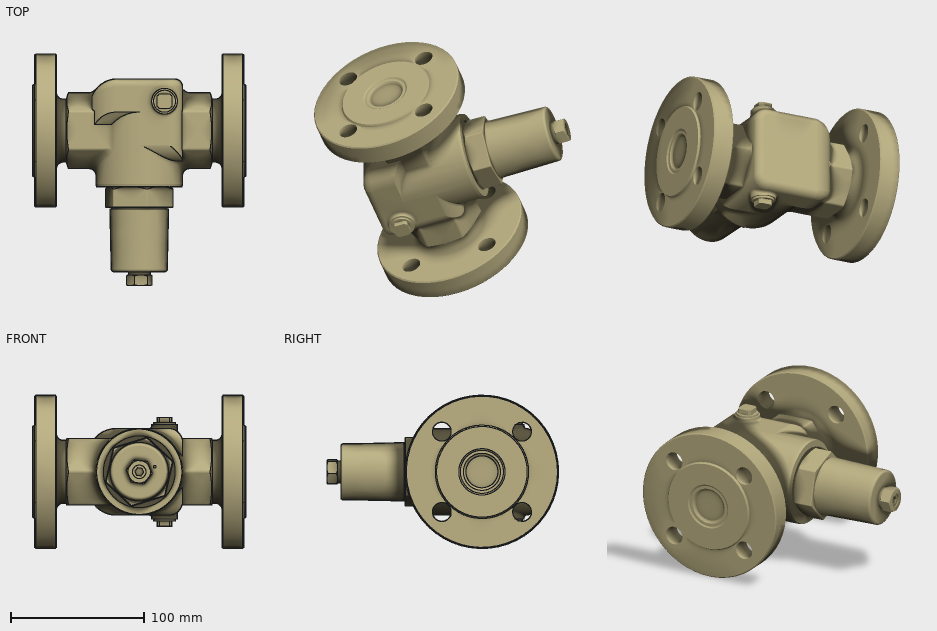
import cadquery as cq
import math


half_length = 80.03
flange_d = 115.0
flange_face_x = 78.4
flange_back_x = 62.0
flange_edge_chamfer = 0.9
raised_face_d = 68.0
raised_face_root_d = 70.0
bolt_hole_d = 14.0
bolt_circle_d = 85.0
bolt_count = 4

countersink_d = 34.8
countersink_floor_d = 32.3
countersink_depth = 0.9
socket_d = 27.8
socket_floor_d = 24.0
socket_depth = 2.6

neck_d = 47.5
neck_fillet = 4.9
pipe_hex_flats = 50.0
pipe_hex_x = 54.7
pipe_hex_chamfer = 1.7
pipe_hex_edge_fillet = 2.3

body_d = 65.0
body_r = body_d / 2
body_front_y = -42.2
body_back_y = 38.8
body_back_fillet = 5.7
body_front_chamfer = 1.9
body_front_step = 0.5
barrel_end_y = 30.4
body_pipe_fillet = 4.9
recess_d = 53.9
recess_depth = 2.0

block_left_width = 38.2
block_left_corner = 20.9
block_right_corner = 10.5
block_left_front_y = 13.9
block_right_front_y = -11.5
block_left_start = (-18.2, body_back_y)
block_left_middle = (-28.7, 34.8)
block_left_end = (-35.5, 25.4)
left_ramp_middle = (7.5, 27.3)
left_ramp_end = (3.5, 24.3)
right_ramp_middle = (-19.1, 27.8)
right_ramp_end = (-22.6, 17.4)

plug_x = 19.0
plug_y = 22.0
boss_d = 19.3
boss_z = 35.5
boss_base_fillet = 1.7
collar_d = 16.5
collar_z = 37.0
head_width = 11.1
head_corner = 1.7
head_z = 40.8

cap_hex_flats = 46.0
cap_hex_start_y = -41.9
cap_hex_end_y = -57.7
cap_hex_angle = 17.0
cap_hex_chamfer = 2.0
cap_hex_end_chamfer = 0.5
cap_hex_edge_fillet = 1.0
cap_neck_d = 41.7
cap_start_y = -58.5
cap_end_y = -105.8
cap_start_d = 44.1
cap_end_d = 42.0
cap_end_fillet = 1.9
vent_hole_d = 2.0
vent_hole_depth = 1.7
vent_hole_x = 11.6
vent_hole_z = 3.8

nut_washer_d = 16.5
nut_start_y = -108.1
nut_end_y = -116.3
nut_flats = 17.0
nut_angle = -8.0
nut_chamfer = 0.9
screw_hole_d = 10.0
screw_hole_depth = 1.0
key_flats = 5.7
key_depth = 3.5


def disc_x(x_start, x_end, diameter):
    """Cylinder on the X axis."""
    return cq.Workplane("YZ", origin=(x_start, 0, 0)).circle(diameter / 2).extrude(x_end - x_start)


def disc_y(y_start, y_end, diameter):
    """Cylinder on the Y axis, running from y_start to y_end in the -Y direction."""
    return cq.Workplane("XZ", origin=(0, y_start, 0)).circle(diameter / 2).extrude(y_start - y_end)


def hexagon_y(y_start, y_end, flats, angle):
    """Hexagonal prism on the Y axis with a corner at the given angle from +X."""
    corners_d = flats / math.cos(math.pi / 6)
    prism = cq.Workplane("XZ", origin=(0, y_start, 0)).polygon(6, corners_d).extrude(y_start - y_end)
    return prism.rotate((0, 0, 0), (0, 1, 0), -angle)


def chamfered_hexagon_y(y_start, y_end, flats, angle, chamfer):
    """Hexagonal prism whose corners are turned down at both ends."""
    corners_d = flats / math.cos(math.pi / 6)
    blank = disc_y(y_start, y_end, corners_d).edges().chamfer(chamfer, (corners_d - flats) / 2)
    return hexagon_y(y_start, y_end, flats, angle).intersect(blank)


def pipe_flange():
    """Right-hand flange with neck, raised face, bolt holes and socket recess."""
    neck_r = neck_d / 2
    flange_r = flange_d / 2
    fillet_middle = neck_fillet * (1 - math.sqrt(0.5))
    profile = (
        cq.Workplane("XY")
        .moveTo(0, 0)
        .lineTo(0, neck_r)
        .lineTo(flange_back_x - neck_fillet, neck_r)
        .threePointArc(
            (flange_back_x - fillet_middle, neck_r + fillet_middle),
            (flange_back_x, neck_r + neck_fillet),
        )
        .lineTo(flange_back_x, flange_r - flange_edge_chamfer)
        .lineTo(flange_back_x + flange_edge_chamfer, flange_r)
        .lineTo(flange_face_x - flange_edge_chamfer, flange_r)
        .lineTo(flange_face_x, flange_r - flange_edge_chamfer)
        .lineTo(flange_face_x, raised_face_root_d / 2)
        .lineTo(half_length, raised_face_d / 2)
        .lineTo(half_length, countersink_d / 2)
        .lineTo(half_length - countersink_depth, countersink_floor_d / 2)
        .lineTo(half_length - countersink_depth, socket_d / 2)
        .lineTo(half_length - socket_depth, socket_floor_d / 2)
        .lineTo(half_length - socket_depth, 0)
        .close()
    )
    flange = profile.revolve(360, (0, 0, 0), (1, 0, 0))
    bolt_holes = (
        cq.Workplane("YZ", origin=(flange_back_x, 0, 0))
        .polarArray(bolt_circle_d / 2, 360 / bolt_count / 2, 360, bolt_count)
        .circle(bolt_hole_d / 2)
        .extrude(half_length - flange_back_x)
    )
    return flange.cut(bolt_holes)


def pipe_hexagon():
    """Hexagon through the body along X, with flats on top and bottom and turned ends."""
    corners_d = pipe_hex_flats / math.cos(math.pi / 6)
    prism = (
        cq.Workplane("YZ", origin=(-pipe_hex_x, 0, 0))
        .polygon(6, corners_d)
        .extrude(2 * pipe_hex_x)
        .edges("|X")
        .fillet(pipe_hex_edge_fillet)
    )
    blank = disc_x(-pipe_hex_x, pipe_hex_x, corners_d)
    return prism.intersect(blank.edges().chamfer(pipe_hex_chamfer, (corners_d - neck_d) / 2))


def block_part(half_width, corner_radius, front_y, ramp_middle, ramp_end):
    """Block with rounded long edges; ramps at its front lead down to the barrel on top and bottom.

    The ramp points are (y, z) and are mirrored for the bottom.
    """
    section = (
        cq.Workplane("XZ", origin=(0, body_back_y, 0))
        .rect(2 * half_width, body_d)
        .extrude(body_back_y - body_front_y)
        .edges("|Y")
        .fillet(corner_radius)
    )
    middle_y, middle_z = ramp_middle
    end_y, end_z = ramp_end
    side = (
        cq.Workplane("YZ", origin=(-half_width, 0, 0))
        .moveTo(body_back_y, -body_r)
        .lineTo(front_y, -body_r)
        .threePointArc((middle_y, -middle_z), (end_y, -end_z))
        .lineTo(end_y, end_z)
        .threePointArc((middle_y, middle_z), (front_y, body_r))
        .lineTo(body_back_y, body_r)
        .close()
        .extrude(2 * half_width)
    )
    return section.intersect(side)


def chamber_block():
    """Block behind the body: widely rounded on the left, longer and squarer on the right."""
    left_outline = (
        cq.Workplane("XY", origin=(0, 0, -body_r))
        .moveTo(0, body_back_y)
        .lineTo(block_left_start[0], block_left_start[1])
        .threePointArc(block_left_middle, block_left_end)
        .lineTo(block_left_end[0], body_front_y)
        .lineTo(0, body_front_y)
        .close()
        .extrude(body_d)
    )
    left = block_part(
        block_left_width, block_left_corner, block_left_front_y, left_ramp_middle, left_ramp_end
    ).intersect(left_outline)
    right_half = cq.Workplane("XY").box(body_d, 2 * body_d, body_d, centered=(False, True, True))
    right = block_part(
        body_r, block_right_corner, block_right_front_y, right_ramp_middle, right_ramp_end
    ).intersect(right_half)
    block = left.union(right)
    return block.faces(">Y").edges("not <X").fillet(body_back_fillet)


def barrel_with_pipe_ends():
    """Body barrel crossed by the pipe hexagon, with a fillet all along their junction."""
    long_barrel = disc_y(2 * body_back_y, body_front_y, body_d)
    long_barrel = long_barrel.faces("<Y").edges().chamfer(body_front_chamfer, body_front_step)
    long_barrel = long_barrel.rotate((0, 0, 0), (0, 1, 0), 90)
    crossing = long_barrel.union(pipe_hexagon())
    junction = cq.selectors.BoxSelector(
        (-body_r - 0.2, -pipe_hex_flats, -body_r),
        (body_r + 0.2, pipe_hex_flats, body_r),
    )
    on_body = [e for e in crossing.edges(junction).vals() if e.geomType() in ("ELLIPSE", "BSPLINE", "LINE")]
    on_body = [e for e in on_body if abs(e.Center().y) < 29.5 and e.Length() > 0.02]
    crossing = crossing.newObject(on_body).fillet(body_pipe_fillet)
    keep = disc_y(barrel_end_y, body_front_y, 2 * flange_d)
    return crossing.intersect(keep)


def vent_boss():
    """Round boss under the vent plug on top."""
    return cq.Workplane("XY", origin=(plug_x, plug_y, 0)).circle(boss_d / 2).extrude(boss_z)


def valve_body():
    """Barrel, pipe ends, chamber block and vent bosses, with the recess in the front face."""
    boss = vent_boss()
    body = barrel_with_pipe_ends().union(chamber_block()).union(boss).union(boss.mirror("XY"))
    boss_roots = cq.selectors.BoxSelector(
        (plug_x - boss_d / 2, plug_y - boss_d / 2, -boss_z + 0.9),
        (plug_x + boss_d / 2, plug_y + boss_d / 2, boss_z - 0.9),
    )
    body = body.edges(boss_roots).fillet(boss_base_fillet)
    recess = disc_y(body_front_y + recess_depth, body_front_y, recess_d)
    return body.cut(recess)


def vent_plug():
    """Collar and square head with chamfered corners on the boss on top."""
    seat = cq.Workplane("XY", origin=(plug_x, plug_y, boss_z))
    collar = seat.circle(collar_d / 2).extrude(collar_z - boss_z)
    head = seat.rect(head_width, head_width).extrude(head_z - boss_z).edges("|Z").chamfer(head_corner)
    return collar.union(head)


def spring_cap():
    """Hexagon and slightly tapered cap in front of the body."""
    hexagon = hexagon_y(cap_hex_start_y, cap_hex_end_y, cap_hex_flats, cap_hex_angle)
    hexagon = hexagon.edges("|Y").fillet(cap_hex_edge_fillet)
    corners_d = cap_hex_flats / math.cos(math.pi / 6)
    blank = disc_y(cap_hex_start_y, cap_hex_end_y, corners_d)
    blank = blank.faces(">Y").edges().chamfer(cap_hex_chamfer, (corners_d - cap_hex_flats) / 2)
    hexagon = hexagon.intersect(blank).faces("<Y").edges().chamfer(cap_hex_end_chamfer)
    neck = disc_y(body_front_y + recess_depth, cap_start_y, cap_neck_d)
    cap = (
        cq.Workplane("XY")
        .moveTo(0, cap_start_y)
        .lineTo(cap_start_d / 2, cap_start_y)
        .lineTo(cap_end_d / 2, cap_end_y)
        .lineTo(0, cap_end_y)
        .close()
        .revolve(360, (0, 0, 0), (0, 1, 0))
        .faces("<Y")
        .edges()
        .fillet(cap_end_fillet)
    )
    vent_hole = disc_y(cap_end_y + vent_hole_depth, cap_end_y, vent_hole_d)
    return hexagon.union(neck).union(cap).cut(vent_hole.translate((vent_hole_x, 0, vent_hole_z)))


def adjusting_nut():
    """Washer and chamfered nut at the tip, with a screw hole and hexagon key socket."""
    washer = disc_y(cap_end_y, nut_start_y, nut_washer_d)
    nut = chamfered_hexagon_y(nut_start_y, nut_end_y, nut_flats, nut_angle, nut_chamfer)
    screw_floor_y = nut_end_y + screw_hole_depth
    screw_hole = disc_y(screw_floor_y, nut_end_y, screw_hole_d)
    key = hexagon_y(screw_floor_y + key_depth, screw_floor_y, key_flats, nut_angle)
    return washer.union(nut).cut(screw_hole).cut(key)


flange = pipe_flange()
plug = vent_plug()

result = (
    valve_body()
    .union(flange)
    .union(flange.mirror("YZ"))
    .union(plug)
    .union(plug.mirror("XY"))
    .union(spring_cap())
    .union(adjusting_nut())
)